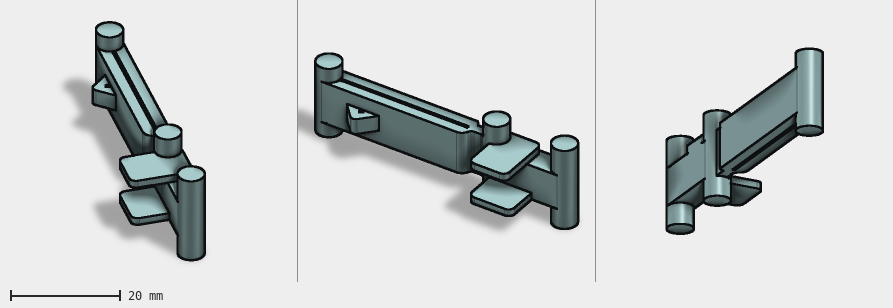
import cadquery as cq
import math

pin_diameter = 5.0
pin_radius = pin_diameter / 2
overall_length = 56.3
end_pin_x = overall_length - pin_diameter
middle_pin_x = 36.5
link_y = 0.2
first_pin_height = 15.15
middle_pin_height = 16.8
end_pin_height = 17.3

arm_height = 8.95
arm_bottom = -arm_height / 2
slot_start_x = 2.75
slot_end_x = 30.35
slot_width = 0.5
shoulder_front_x = 29.45
shoulder_radius = 1.9
neck_fillet_radius = 0.95
neck_front_y = -0.7
neck_back_y = 1.45
shoulder_back_start_x = 30.8
shoulder_back_end_x = 31.6
shoulder_back_mid = (31.25, 2.1)

ear_x = 9.05
ear_width = 7.05
ear_depth = 3.4
ear_height = 3.25
ear_tip_width = 1.5
ear_tip_depth = 0.35
ear_hole_diameter = 0.8
ear_hole_y = -3.1

plate_depth = 12.0
plate_corner_radius = 1.35
top_plate_length = 8.2
bottom_plate_length = 9.3
top_plate_thickness = 1.5
bottom_plate_thickness = 1.45
link_height = arm_height - top_plate_thickness


def pin(x, y, height):
    """Upright pin centred on the mid-height plane."""
    return cq.Workplane("XY", origin=(x, y, -height / 2)).circle(pin_radius).extrude(height)


def toward(start, target, distance):
    """Point at the given distance from start, on the line toward target."""
    angle = math.atan2(target[1] - start[1], target[0] - start[0])
    return (start[0] + distance * math.cos(angle), start[1] + distance * math.sin(angle))


def arc_middle(center, first, last):
    """Middle point of the shorter arc about center from first to last."""
    chord_middle = ((first[0] + last[0]) / 2, (first[1] + last[1]) / 2)
    return toward(center, chord_middle, math.dist(center, first))


def arm():
    """Bar with rounded shoulders that narrows to the neck, slit along its length."""
    fillet_y = neck_front_y - neck_fillet_radius
    shoulder_center = (shoulder_front_x, shoulder_radius - pin_radius)
    shoulder_reach = shoulder_radius + neck_fillet_radius
    neck_start_x = shoulder_front_x + math.sqrt(shoulder_reach**2 - (shoulder_center[1] - fillet_y) ** 2)
    pin_reach = pin_radius + neck_fillet_radius
    neck_end_x = middle_pin_x - math.sqrt(pin_reach**2 - (link_y - fillet_y) ** 2)

    middle_pin_center = (middle_pin_x, link_y)
    shoulder_fillet_center = (neck_start_x, fillet_y)
    pin_fillet_center = (neck_end_x, fillet_y)
    shoulder_start = (shoulder_front_x, -pin_radius)
    shoulder_end = toward(shoulder_center, shoulder_fillet_center, shoulder_radius)
    neck_start = (neck_start_x, neck_front_y)
    neck_end = (neck_end_x, neck_front_y)
    pin_contact = toward(pin_fillet_center, middle_pin_center, neck_fillet_radius)

    bar = (
        cq.Workplane("XY", origin=(0, 0, arm_bottom))
        .moveTo(0, -pin_radius)
        .lineTo(*shoulder_start)
        .threePointArc(arc_middle(shoulder_center, shoulder_start, shoulder_end), shoulder_end)
        .threePointArc(arc_middle(shoulder_fillet_center, shoulder_end, neck_start), neck_start)
        .lineTo(*neck_end)
        .threePointArc(arc_middle(pin_fillet_center, neck_end, pin_contact), pin_contact)
        .lineTo(*middle_pin_center)
        .lineTo(middle_pin_x, neck_back_y)
        .lineTo(shoulder_back_end_x, neck_back_y)
        .threePointArc(shoulder_back_mid, (shoulder_back_start_x, pin_radius))
        .lineTo(0, pin_radius)
        .close()
        .extrude(arm_height)
    )
    slot_length = slot_end_x - slot_start_x
    slot = cq.Workplane("XY").box(slot_length, slot_width, arm_height)
    return bar.cut(slot.translate(((slot_start_x + slot_end_x) / 2, 0, 0)))


def ear():
    """Triangular ear with a rounded tip."""
    base_y = -pin_radius
    tip_y = base_y - ear_depth
    tip_start_y = tip_y + ear_tip_depth
    return (
        cq.Workplane("XY", origin=(ear_x, 0, -ear_height / 2))
        .moveTo(-ear_width / 2, base_y)
        .lineTo(-ear_tip_width / 2, tip_start_y)
        .threePointArc((0, tip_y), (ear_tip_width / 2, tip_start_y))
        .lineTo(ear_width / 2, base_y)
        .close()
        .extrude(ear_height)
    )


def ear_hole():
    """Cutter for the hole through the ear."""
    hole = cq.Workplane("XY", origin=(ear_x, ear_hole_y, -ear_height / 2))
    return hole.circle(ear_hole_diameter / 2).extrude(ear_height)


def plate(length, thickness, bottom_z):
    """Plate reaching forward from the back face of the link, with rounded corners."""
    back_y = link_y + pin_radius
    slab = cq.Workplane("XY").box(length, plate_depth, thickness, centered=False)
    slab = slab.edges("|Z").fillet(plate_corner_radius)
    return slab.translate((middle_pin_x, back_y - plate_depth, bottom_z))


def link():
    """Straight block running between the middle and end pin axes."""
    block = cq.Workplane("XY").box(
        end_pin_x - middle_pin_x, pin_diameter, link_height, centered=False
    )
    return block.translate((middle_pin_x, link_y - pin_radius, arm_bottom))


result = (
    arm()
    .union(ear())
    .cut(ear_hole())
    .union(pin(0, 0, first_pin_height))
    .union(pin(middle_pin_x, link_y, middle_pin_height))
    .union(pin(end_pin_x, link_y, end_pin_height))
    .union(link())
    .union(plate(bottom_plate_length, bottom_plate_thickness, arm_bottom))
    .union(plate(top_plate_length, top_plate_thickness, arm_bottom + link_height))
)